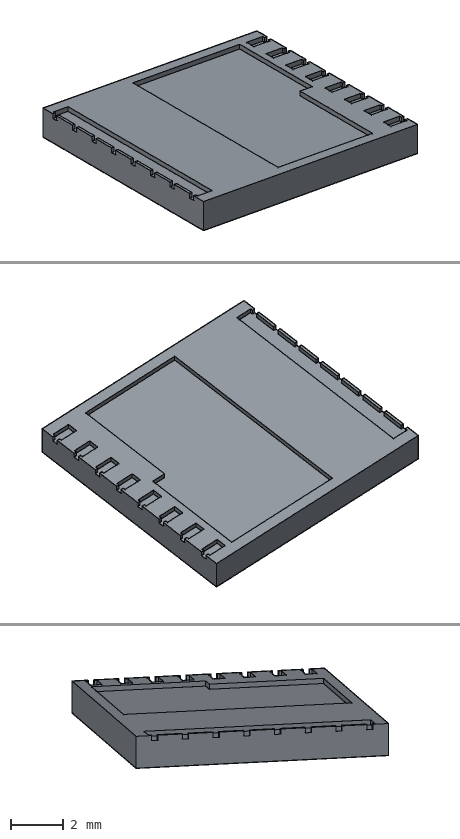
import cadquery as cq

plate_width = 9.9
plate_length = 10.38
plate_height = 1.25
recess_depth = 0.2

contact_count = 8
contact_pitch = 1.205
contact_width = 0.45
end_wall = 0.12
notch_width = 0.24
rear_slot_length = 0.78
front_trough_length = 0.7

recess_width = 8.95
recess_left_start = 1.21
recess_right_start = 1.81
recess_end = 6.39
recess_step_x = 0.0

rear_y = plate_length / 2
front_y = -plate_length / 2
row_span = (contact_count - 1) * contact_pitch
trough_width = row_span + contact_width
contact_positions = [i * contact_pitch - row_span / 2 for i in range(contact_count)]


def top_pocket(center_x, low_y, width, length):
    """Rectangular cutter that sinks into the top face by the recess depth."""
    return (
        cq.Workplane("XY")
        .box(width, length, recess_depth, centered=(True, False, False))
        .translate((center_x, low_y, plate_height - recess_depth))
    )


def stepped_recess():
    """Cutter for the central recess, whose rear edge steps at mid-width."""
    half_width = recess_width / 2
    left_y = rear_y - recess_left_start
    right_y = rear_y - recess_right_start
    end_y = rear_y - recess_end
    outline = [
        (-half_width, end_y),
        (half_width, end_y),
        (half_width, right_y),
        (recess_step_x, right_y),
        (recess_step_x, left_y),
        (-half_width, left_y),
    ]
    return (
        cq.Workplane("XY", origin=(0, 0, plate_height - recess_depth))
        .polyline(outline)
        .close()
        .extrude(recess_depth)
    )


result = cq.Workplane("XY").box(plate_width, plate_length, plate_height, centered=(True, True, False))
result = result.cut(stepped_recess())

result = result.cut(top_pocket(0, front_y + end_wall, trough_width, front_trough_length))

for x in contact_positions:
    rear_slot_y = rear_y - end_wall - rear_slot_length
    result = result.cut(top_pocket(x, rear_slot_y, contact_width, rear_slot_length))
    result = result.cut(top_pocket(x, rear_y - end_wall, notch_width, end_wall))
    result = result.cut(top_pocket(x, front_y, notch_width, end_wall))